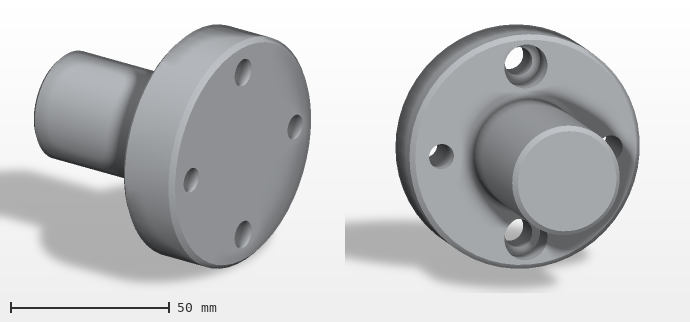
import cadquery as cq

flange_diameter = 75.0
flange_thickness = 20.0
overall_length = 70.0
shaft_diameter = 35.0
edge_chamfer = 1.5
root_fillet = 2.0

hole_circle_diameter = 55.0
plain_hole_diameter = 8.0
screw_hole_diameter = 9.0
counterbore_diameter = 14.0
counterbore_depth = 9.0

flange_radius = flange_diameter / 2
shaft_radius = shaft_diameter / 2
hole_offset = hole_circle_diameter / 2
shaft_length = overall_length - flange_thickness


def make_body():
    """Revolve the chamfered shaft and flange with a fillet at the shaft root."""
    fillet_middle = root_fillet * (1 - 0.5 ** 0.5)
    return (
        cq.Workplane("XY")
        .lineTo(0, shaft_radius - edge_chamfer)
        .lineTo(edge_chamfer, shaft_radius)
        .lineTo(shaft_length - root_fillet, shaft_radius)
        .threePointArc(
            (shaft_length - fillet_middle, shaft_radius + fillet_middle),
            (shaft_length, shaft_radius + root_fillet),
        )
        .lineTo(shaft_length, flange_radius - edge_chamfer)
        .lineTo(shaft_length + edge_chamfer, flange_radius)
        .lineTo(overall_length - edge_chamfer, flange_radius)
        .lineTo(overall_length, flange_radius - edge_chamfer)
        .lineTo(overall_length, 0)
        .close()
        .revolve(360, (0, 0, 0), (1, 0, 0))
    )


def make_bores(centers, diameter, depth):
    """Cylinders starting at the flange's shaft-side face and running along +X."""
    return (
        cq.Workplane("YZ", origin=(shaft_length, 0, 0))
        .pushPoints(centers)
        .circle(diameter / 2)
        .extrude(depth)
    )


plain_hole_centers = [(side * hole_offset, 0) for side in (-1, 1)]
screw_hole_centers = [(0, side * hole_offset) for side in (-1, 1)]

result = (
    make_body()
    .cut(make_bores(plain_hole_centers, plain_hole_diameter, flange_thickness))
    .cut(make_bores(screw_hole_centers, screw_hole_diameter, flange_thickness))
    .cut(make_bores(screw_hole_centers, counterbore_diameter, counterbore_depth))
)